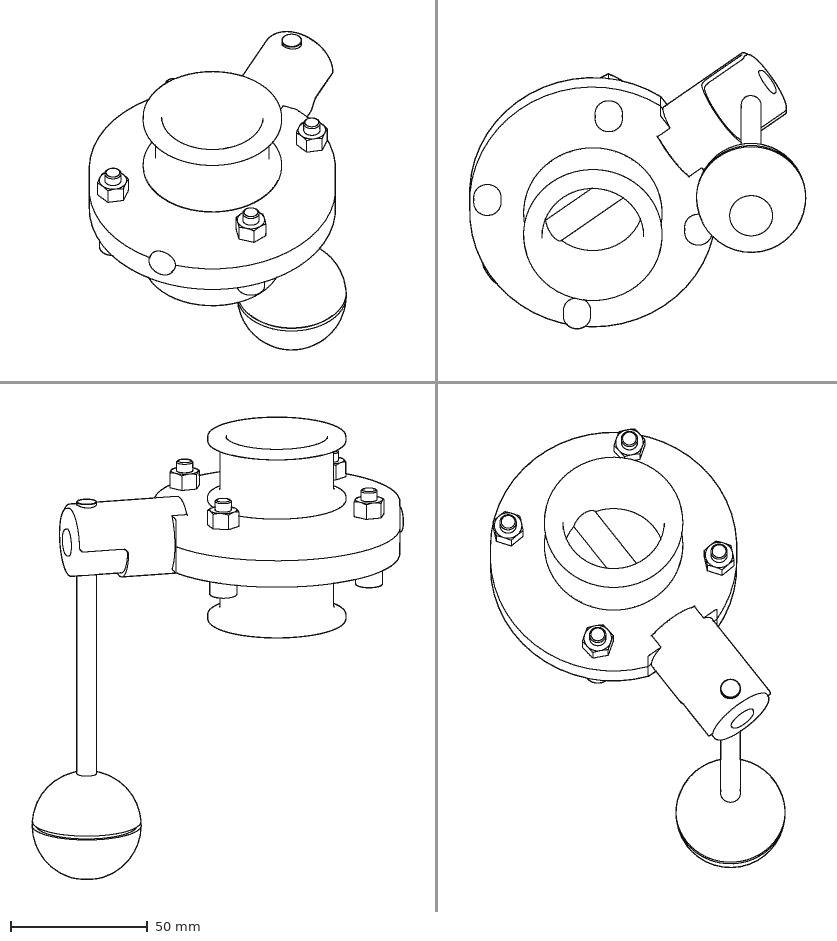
import cadquery as cq
import math


bore_dia = 37.0
bore_edge_round = 0.5
pipe_dia = 41.5
ferrule_dia = 50.5
ferrule_end_z = 35.0
ferrule_rim = 2.3
ferrule_cone_angle = 15
ferrule_fillet = 2.5
rim_round = 0.5

flange_dia = 90.0
flange_thickness = 10.1
flange_edge_round = 0.5
flange_flat_y = 42.2
base_rim = 1.8

disc_thickness = 2.0
stem_dia = 10.0
stem_start_y = -46.7
stem_end_y = 79.9
stem_end_round = 0.8

screw_count = 4
screw_spacing = 55.0
screw_dia = 6.0
screw_tip_z = 19.8
screw_tip_chamfer = 0.5
head_dia = 10.0
head_height = 6.0
head_round = 0.5
nut_flats = 10.0
nut_height = 6.0
nut_turn = 95
nut_bevel_angle = 30

sleeve_dia = 28.0
sleeve_start_y = 36.4
sleeve_end_y = 77.8
sleeve_edge_round = 0.5
notch_start_y = 59.5
notch_corner_radius = 2.5
lip_corner_radius = 1.0

hub_dia = 25.0
hub_end_y = 78.9
hub_edge_round = 0.5

lever_dia = 7.2
lever_y = 71.8
lever_top_z = 15.0
lever_top_chamfer = 0.2
ball_dia = 40.0
ball_center_z = -107.7
ball_bottom_z = -126.0
groove_dia = 37.0
groove_width = 1.5


def y_cylinder(diameter, start_y, end_y):
    """Solid cylinder on the Y axis."""
    plane = cq.Workplane("XZ", origin=(0, start_y, 0))
    return plane.circle(diameter / 2).extrude(start_y - end_y)


def z_cylinder(diameter, start_z, end_z):
    """Solid cylinder on the Z axis."""
    return cq.Workplane("XY").workplane(offset=start_z).circle(diameter / 2).extrude(end_z - start_z)


def rim_ring(face_z, rim, direction):
    """Clamp rim around the pipe: flat at face_z, with a cone and a fillet running back to the pipe.

    direction is +1 when the pipe lies above the face and -1 when it lies below.
    """
    slope = math.radians(ferrule_cone_angle)
    pipe_radius = pipe_dia / 2
    rim_radius = ferrule_dia / 2
    arc_center_r = pipe_radius + ferrule_fillet
    cone_inner_r = arc_center_r - ferrule_fillet * math.sin(slope)
    cone_inner_h = rim + (rim_radius - cone_inner_r) * math.tan(slope)
    arc_center_h = cone_inner_h + ferrule_fillet * math.cos(slope)
    arc_mid_angle = (math.pi / 2 + slope) / 2 - slope
    mid_r = arc_center_r - ferrule_fillet * math.cos(arc_mid_angle)
    mid_h = arc_center_h - ferrule_fillet * math.sin(arc_mid_angle)

    def point(radius, height):
        return (radius, face_z + direction * height)

    profile = (
        cq.Workplane("XZ")
        .moveTo(*point(bore_dia / 2, 0))
        .lineTo(*point(rim_radius, 0))
        .lineTo(*point(rim_radius, rim))
        .lineTo(*point(cone_inner_r, cone_inner_h))
        .threePointArc(point(mid_r, mid_h), point(pipe_radius, arc_center_h))
        .lineTo(*point(bore_dia / 2, arc_center_h))
        .close()
    )
    ring = profile.revolve(360, (0, 0, 0), (0, 1, 0))
    rim_edges = cq.selectors.RadiusNthSelector(-1)
    return ring.edges(rim_edges).fillet(rim_round)


def upper_flange_half():
    """Flange plate with its pipe, half of the stem bore and half of the ring seat for the sleeve."""
    plate = z_cylinder(flange_dia, 0, flange_thickness).faces(">Z").edges().fillet(flange_edge_round)
    flat_cut = cq.Workplane("XY").box(flange_dia, flange_dia, 4 * flange_thickness)
    plate = plate.cut(flat_cut.translate((0, flange_flat_y + flange_dia / 2, 0)))

    pipe = z_cylinder(pipe_dia, flange_thickness, ferrule_end_z - ferrule_rim)
    half = (
        plate.union(pipe)
        .union(rim_ring(flange_thickness, base_rim, 1))
        .union(rim_ring(ferrule_end_z, ferrule_rim, -1))
    )
    half = half.cut(z_cylinder(bore_dia, 0, ferrule_end_z))
    bore_edge = cq.selectors.RadiusNthSelector(0)
    half = half.faces(">Z").edges(bore_edge).fillet(bore_edge_round)

    half = half.cut(y_cylinder(stem_dia, stem_start_y, flange_flat_y))
    sleeve_seat = y_cylinder(sleeve_dia, sleeve_start_y, flange_flat_y)
    half = half.cut(sleeve_seat.cut(y_cylinder(hub_dia, sleeve_start_y, flange_flat_y)))
    screw_holes = (
        cq.Workplane("XY")
        .rect(screw_spacing, screw_spacing, forConstruction=True)
        .vertices()
        .circle(screw_dia / 2)
        .extrude(flange_thickness)
    )
    return half.cut(screw_holes)


def lever_bore():
    """Cylinder that clears the path of the lever rod through the handle."""
    return z_cylinder(lever_dia, -sleeve_dia, sleeve_dia).translate((0, lever_y, 0))


def disc_and_stem():
    """Round butterfly disc, closed, on a stem that reaches from one end of the valve to the other."""
    disc = z_cylinder(bore_dia, -disc_thickness / 2, disc_thickness / 2)
    stem = y_cylinder(stem_dia, stem_start_y, stem_end_y)
    stem = stem.faces("<Y or >Y").edges().fillet(stem_end_round)
    return disc.union(stem).cut(lever_bore())


def hex_nut():
    """Hexagon with its upper corners turned off by a cone; the seat is at Z = 0."""
    corner_dia = nut_flats / math.cos(math.pi / 6)
    hexagon = cq.Workplane("XY").polygon(6, corner_dia).extrude(nut_height)
    bevel_width = (corner_dia - nut_flats) / 2
    bevel_height = bevel_width * math.tan(math.radians(nut_bevel_angle))
    envelope = z_cylinder(corner_dia, 0, nut_height).faces(">Z").chamfer(bevel_height, bevel_width)
    return hexagon.intersect(envelope).rotate((0, 0, 0), (0, 0, 1), nut_turn)


def screw_with_nut():
    """Cylinder head screw from below with its nut on top, centred on the Z axis."""
    head = z_cylinder(head_dia, -flange_thickness - head_height, -flange_thickness)
    head = head.faces("<Z").edges().fillet(head_round)
    shank = z_cylinder(screw_dia, -flange_thickness, screw_tip_z)
    shank = shank.faces(">Z").chamfer(screw_tip_chamfer)
    return head.union(shank).union(hex_nut().translate((0, 0, flange_thickness)))


def sleeve():
    """Handle tube with its lower end cut away so that the lever can reach the hub."""
    tube = y_cylinder(sleeve_dia, sleeve_start_y, sleeve_end_y)
    tube = tube.faces("<Y or >Y").edges().fillet(sleeve_edge_round)
    tube = tube.cut(y_cylinder(hub_dia, sleeve_start_y, sleeve_end_y))

    corner_mid = notch_corner_radius * (1 - math.sqrt(0.5))
    lip_mid = lip_corner_radius * (1 - math.sqrt(0.5))
    notch = (
        cq.Workplane("YZ")
        .moveTo(notch_start_y, -sleeve_dia)
        .lineTo(notch_start_y, -notch_corner_radius)
        .threePointArc(
            (notch_start_y + corner_mid, -corner_mid),
            (notch_start_y + notch_corner_radius, 0),
        )
        .lineTo(sleeve_end_y - lip_corner_radius, 0)
        .threePointArc((sleeve_end_y - lip_mid, lip_mid), (sleeve_end_y, lip_corner_radius))
        .lineTo(sleeve_end_y, -sleeve_dia)
        .close()
        .extrude(sleeve_dia, both=True)
    )
    return tube.cut(notch).cut(lever_bore())


def hub():
    """Round core inside the sleeve, bored for the stem and cross-bored for the lever."""
    core = y_cylinder(hub_dia, flange_flat_y, hub_end_y)
    core = core.faces(">Y").edges().fillet(hub_edge_round)
    return core.cut(y_cylinder(stem_dia, flange_flat_y, hub_end_y)).cut(lever_bore())


def lever():
    """Rod with a grooved ball whose underside is flat."""
    rod = z_cylinder(lever_dia, ball_center_z, lever_top_z).faces(">Z").chamfer(lever_top_chamfer)
    ball = cq.Workplane("XY").sphere(ball_dia / 2).translate((0, 0, ball_center_z))
    ball = ball.intersect(z_cylinder(ball_dia, ball_bottom_z, ball_center_z + ball_dia))
    groove = (
        cq.Workplane("XY")
        .workplane(offset=ball_center_z)
        .circle(ball_dia)
        .circle(groove_dia / 2)
        .extrude(groove_width)
    )
    return ball.cut(groove).union(rod).translate((0, lever_y, 0))


upper_flange = upper_flange_half()
lower_flange = upper_flange.mirror("XY")

screws = []
for turn in range(screw_count):
    screw = screw_with_nut().translate((-screw_spacing / 2, -screw_spacing / 2, 0))
    screws.append(screw.rotate((0, 0, 0), (0, 0, 1), 360 / screw_count * turn).val())

result = cq.Compound.makeCompound(
    [
        upper_flange.val(),
        lower_flange.val(),
        disc_and_stem().val(),
        sleeve().val(),
        hub().val(),
        lever().val(),
        *screws,
    ]
)